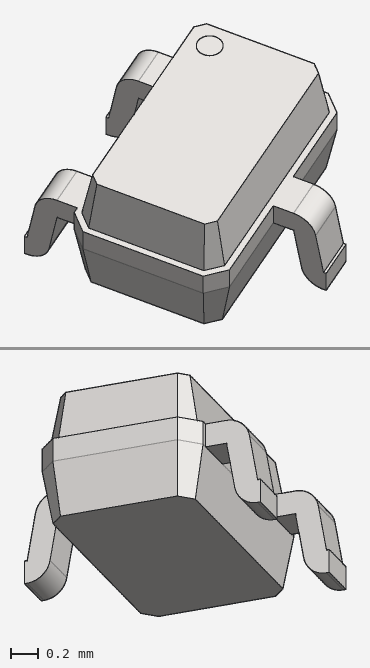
import cadquery as cq
import math

overall_length = 2.1
body_length_x = 1.25
body_length_y = 2.0
total_height = 1.1
standoff = 0.1
corner_chamfer = 0.14
upper_inset = 0.05
draft_angle = 10.0

lead_thickness = 0.18
lead_width = 0.32
lead_pitch = 1.302
foot_step = 0.02
leg_angle = math.radians(10.0)

mark_radius = 0.097
mark_x = -0.317
mark_y = 0.695
mark_depth = 0.002

half_height = (total_height - standoff - lead_thickness) / 2
band_bottom = standoff + half_height
band_top = band_bottom + lead_thickness


def body_outline(z, inset):
    """Rectangle with cut corners at height z, offset inward evenly by inset."""
    half_x = body_length_x / 2 - inset
    half_y = body_length_y / 2 - inset
    cut = corner_chamfer - inset * (2 - math.sqrt(2))
    corners = [
        (half_x, half_y - cut),
        (half_x - cut, half_y),
        (cut - half_x, half_y),
        (-half_x, half_y - cut),
        (-half_x, cut - half_y),
        (cut - half_x, -half_y),
        (half_x - cut, -half_y),
        (half_x, cut - half_y),
    ]
    return cq.Workplane("XY", origin=(0, 0, z)).polyline(corners).close()


def make_body():
    """Straight band with drafted halves above and below it."""
    band = body_outline(band_bottom, 0).extrude(lead_thickness)
    upper = body_outline(band_top, upper_inset).extrude(half_height, taper=draft_angle)
    lower = body_outline(band_bottom, 0).extrude(-half_height, taper=draft_angle)
    return band.union(upper).union(lower)


def make_lead(y_center):
    """Bent lead on the -X side, with both bends rounded about their sharp inner corners."""
    tip_x = -overall_length / 2
    heel_x = tip_x + foot_step
    leg_rise = band_bottom - lead_thickness
    bend_x = heel_x + lead_thickness / math.cos(leg_angle) + leg_rise * math.tan(leg_angle)

    def bend_point(center_x, center_z, angle):
        return (
            center_x + lead_thickness * math.cos(angle),
            center_z + lead_thickness * math.sin(angle),
        )

    leg_normal = -leg_angle
    down = -math.pi / 2
    foot_middle = bend_point(heel_x, lead_thickness, (leg_normal + down) / 2)
    foot_end = bend_point(heel_x, lead_thickness, leg_normal)
    outer_normal = math.pi - leg_angle
    up = math.pi / 2
    bend_start = bend_point(bend_x, band_bottom, up)
    bend_middle = bend_point(bend_x, band_bottom, (up + outer_normal) / 2)
    bend_end = bend_point(bend_x, band_bottom, outer_normal)

    return (
        cq.Workplane("XZ", origin=(0, y_center + lead_width / 2, 0))
        .moveTo(tip_x, 0)
        .lineTo(heel_x, 0)
        .threePointArc(foot_middle, foot_end)
        .lineTo(bend_x, band_bottom)
        .lineTo(-body_length_x / 2 + upper_inset, band_bottom)
        .lineTo(-body_length_x / 2 + upper_inset, band_top)
        .lineTo(*bend_start)
        .threePointArc(bend_middle, bend_end)
        .lineTo(heel_x, lead_thickness)
        .lineTo(tip_x, lead_thickness)
        .close()
        .extrude(lead_width)
    )


result = make_body()

for lead_y in (-lead_pitch / 2, lead_pitch / 2):
    result = result.union(make_lead(lead_y))
result = result.union(make_lead(0).mirror("YZ"))

mark = (
    cq.Workplane("XY", origin=(mark_x, mark_y, total_height - mark_depth))
    .circle(mark_radius)
    .extrude(mark_depth)
)
result = result.cut(mark)